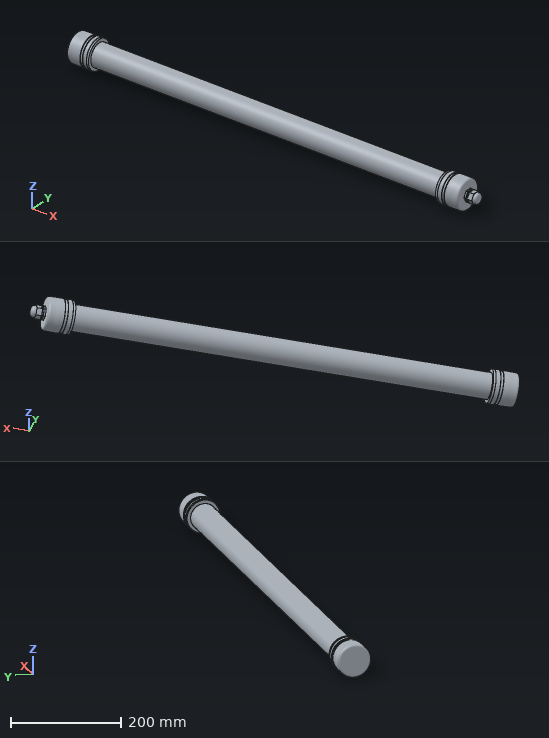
import cadquery as cq
import math

TOTAL_LENGTH = 915.0
REAR_CAP_END = 889.0

TUBE_DIAMETER = 50.0
SOCKET_DEPTH = 18.0

CAP_LENGTH = 50.0
CAP_DIAMETER = 65.0
CAP_TIP_DIAMETER = 64.0
CAP_TAPER_LENGTH = 23.0
CAP_TIP_FILLET = 5.0
CAP_LIP_LENGTH = 5.0
CAP_LIP_DIAMETER = 64.0
GROOVE_DIAMETER = 62.0
GROOVE_START = 31.0
GROOVE_END = 37.0

HEX_SIDES = 6
HEX_ACROSS_FLATS = 23.0
GLAND_BASE_LENGTH = 4.0
GLAND_NECK_LENGTH = 3.0
GLAND_NECK_DIAMETER = 20.0
GLAND_HEX_END = 907.0
GLAND_TIP_DIAMETER = 23.0
GLAND_TIP_FILLET = 5.5


def rod(start, end, diameter):
    """Solid cylinder along X between two stations."""
    return cq.Workplane("YZ").workplane(offset=start).circle(diameter / 2).extrude(end - start)


def hex_bar(start, end):
    """Hexagonal bar along X with two flats facing up and down and two corners on the Y axis."""
    corner_diameter = HEX_ACROSS_FLATS / math.cos(math.pi / HEX_SIDES)
    return cq.Workplane("YZ").workplane(offset=start).polygon(HEX_SIDES, corner_diameter).extrude(end - start)


def make_cap():
    """End cap with its closed tip at X = 0 and its tube socket opening toward +X."""
    outer = CAP_DIAMETER / 2
    profile = [
        (0, 0),
        (0, CAP_TIP_DIAMETER / 2),
        (CAP_TAPER_LENGTH, outer),
        (GROOVE_START, outer),
        (GROOVE_START, GROOVE_DIAMETER / 2),
        (GROOVE_END, GROOVE_DIAMETER / 2),
        (GROOVE_END, outer),
        (CAP_LENGTH - CAP_LIP_LENGTH, outer),
        (CAP_LENGTH - CAP_LIP_LENGTH, CAP_LIP_DIAMETER / 2),
        (CAP_LENGTH, CAP_LIP_DIAMETER / 2),
        (CAP_LENGTH, 0),
    ]
    cap = cq.Workplane("XY").polyline(profile).close().revolve(360, (0, 0, 0), (1, 0, 0))
    cap = cap.faces("<X").edges().fillet(CAP_TIP_FILLET)
    return cap.cut(rod(CAP_LENGTH - SOCKET_DEPTH, CAP_LENGTH, TUBE_DIAMETER))


def make_tube():
    """Plain round tube body seated in both cap sockets."""
    inset = CAP_LENGTH - SOCKET_DEPTH
    return rod(inset, REAR_CAP_END - inset, TUBE_DIAMETER)


def make_gland_base():
    """Hexagonal gland base with a short round neck that carries the nut."""
    hex_end = REAR_CAP_END + GLAND_BASE_LENGTH
    neck = rod(hex_end, hex_end + GLAND_NECK_LENGTH, GLAND_NECK_DIAMETER)
    return hex_bar(REAR_CAP_END, hex_end).union(neck)


def make_gland_nut():
    """Hexagonal gland nut with a rounded tip."""
    start = REAR_CAP_END + GLAND_BASE_LENGTH + GLAND_NECK_LENGTH
    tip = rod(GLAND_HEX_END, TOTAL_LENGTH, GLAND_TIP_DIAMETER)
    tip = tip.faces(">X").edges().fillet(GLAND_TIP_FILLET)
    return hex_bar(start, GLAND_HEX_END).union(tip)


front_cap = make_cap()
caps = [front_cap, front_cap.mirror("YZ").translate((REAR_CAP_END, 0, 0))]
tube = make_tube()
gland_base = make_gland_base()
gland_nut = make_gland_nut()

result = cq.Compound.makeCompound(
    [tube.val(), *[cap.val() for cap in caps], gland_base.val(), gland_nut.val()]
)